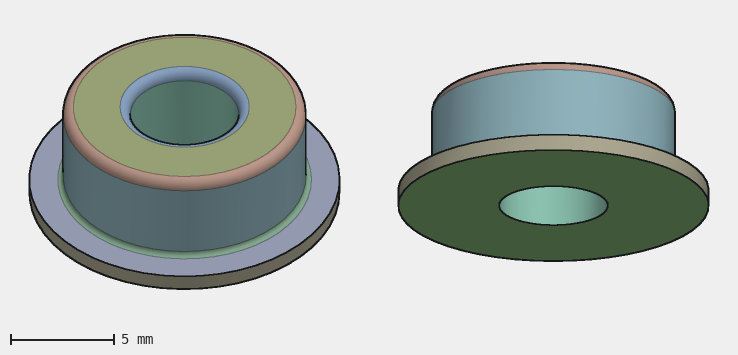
import cadquery as cq

flange_diameter = 15.0
body_diameter = 11.75
bore_diameter = 5.25
total_height = 5.3
flange_thickness = 0.8
rim_radius = 0.5
root_radius = 0.25

flange = cq.Workplane("XY").circle(flange_diameter / 2).extrude(flange_thickness)
bushing = (
    flange.faces(">Z").workplane()
    .circle(body_diameter / 2)
    .extrude(total_height - flange_thickness)
)

bushing = bushing.faces(">Z").workplane().hole(bore_diameter)

bushing = bushing.faces(">Z").edges().fillet(rim_radius)

shoulder = bushing.faces("+Z").faces("<Z")
root_edge = shoulder.edges(cq.selectors.RadiusNthSelector(0))
result = root_edge.fillet(root_radius)